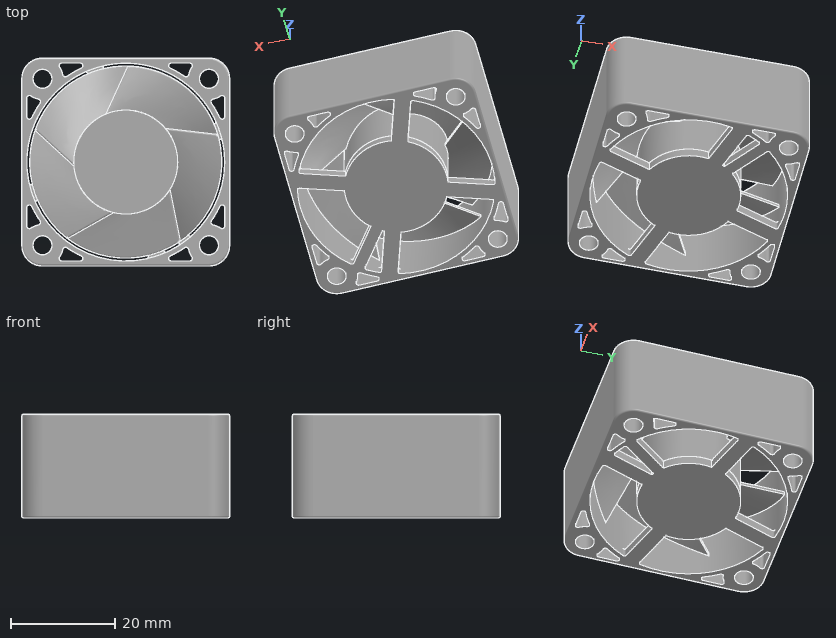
import cadquery as cq
import math

side = 40.0
height = 20.0
corner_radius = 4.0
corner_count = 4
rim_rounding = 0.4
bore_radius = 19.0

screw_hole_diameter = 3.6
screw_offset = side / 2 - corner_radius
pocket_edge_wall = 1.0
pocket_bore_wall = 1.0
pocket_boss_radius = 4.0
pocket_corner_radius = 0.5

strut_height = 2.0
strut_width = 3.2
strut_count = 4
first_strut_angle = 18.4
cable_strut_width = 2.4
cable_strut_angle = -53.0
strut_root_fillet = 0.4

hub_radius = 10.0

blade_count = 5
blade_tip_radius = 18.5
blade_tip_angle = 16.7
blade_tip_top = 14.4
blade_root_angle = 40.4
blade_root_top = 16.25
blade_wrap = 82.0
blade_root_slope = 0.055
blade_tip_slope = 0.055
blade_tip_steepening = 9.2e-06
rail_spans = 8
blade_thickness = 0.7
blade_rounding = 0.3
blade_overrun = 0.1


def make_pocket():
    """Cutter for the three-sided pocket between the left screw boss, the bore and the +Y wall."""
    outer_y = side / 2 - pocket_edge_wall
    ring_radius = bore_radius + pocket_bore_wall
    blank = (
        cq.Workplane("XY")
        .rect(screw_offset, outer_y, centered=False)
        .extrude(height)
        .translate((-screw_offset, 0, 0))
    )
    screw_boss = (
        cq.Workplane("XY").center(-screw_offset, screw_offset).circle(pocket_boss_radius).extrude(height)
    )
    ring = cq.Workplane("XY").circle(ring_radius).extrude(height)
    return blank.cut(screw_boss).cut(ring).edges("|Z").fillet(pocket_corner_radius)


def make_strut(width, angle):
    """Radial bar from the axis into the housing wall."""
    length = (bore_radius + side / 2) / 2
    bar = cq.Workplane("XY").rect(length, width, centered=(False, True)).extrude(strut_height)
    return bar.rotate((0, 0, 0), (0, 0, 1), angle)


def make_housing():
    body = (
        cq.Workplane("XY")
        .rect(side, side)
        .extrude(height)
        .edges("|Z")
        .fillet(corner_radius)
        .faces("<Z or >Z")
        .edges()
        .fillet(rim_rounding)
    )
    body = body.cut(cq.Workplane("XY").circle(bore_radius).extrude(height))

    for index in range(strut_count):
        body = body.union(make_strut(strut_width, first_strut_angle + index * 360 / strut_count))
    body = body.union(make_strut(cable_strut_width, cable_strut_angle))
    body = body.union(cq.Workplane("XY").circle(hub_radius).extrude(strut_height))

    def is_strut_root(edge):
        centre = edge.Center()
        return abs(math.hypot(centre.x, centre.y) - bore_radius) < 0.005 and centre.z < strut_height

    strut_roots = body.edges("|Z").filter(is_strut_root)
    body = strut_roots.fillet(strut_root_fillet)

    screw_holes = (
        cq.Workplane("XY")
        .rect(2 * screw_offset, 2 * screw_offset, forConstruction=True)
        .vertices()
        .circle(screw_hole_diameter / 2)
        .extrude(height)
    )
    body = body.cut(screw_holes)

    pocket = make_pocket()
    for index in range(corner_count):
        for cutter in (pocket, pocket.mirror("YZ")):
            body = body.cut(cutter.rotate((0, 0, 0), (0, 0, 1), index * 360 / corner_count))
    return body


def make_hub():
    hub_height = height - strut_height
    return cq.Workplane("XY").workplane(offset=strut_height).circle(hub_radius).extrude(hub_height)


def polar(radius, angle):
    """X and Y of a point at the given distance and angle from the axis."""
    return radius * math.cos(math.radians(angle)), radius * math.sin(math.radians(angle))


def make_rail(x, y, z, slope, steepening):
    """Long edge of a blade: it turns clockwise about the axis and falls by a cubic in the angle turned."""
    radius = math.hypot(x, y)
    start_angle = math.degrees(math.atan2(y, x))
    points = []
    for index in range(rail_spans + 1):
        turn = blade_wrap * index / rail_spans
        point_x, point_y = polar(radius, start_angle - turn)
        points.append(cq.Vector(point_x, point_y, z - slope * turn - steepening * turn**3))
    return cq.Edge.makeSpline(points)


def make_blade():
    """Thin band between an inner and an outer pair of rails, with its highest end leading."""
    tip_x, tip_y = polar(blade_tip_radius, blade_tip_angle)
    root_x, root_y = polar(hub_radius, blade_root_angle)
    inner_x = root_x + blade_overrun * (root_x - tip_x)
    inner_y = root_y + blade_overrun * (root_y - tip_y)
    inner_z = blade_root_top + blade_overrun * (blade_root_top - blade_tip_top)

    rails = [
        make_rail(inner_x, inner_y, inner_z, blade_root_slope, 0),
        make_rail(tip_x, tip_y, blade_tip_top, blade_tip_slope, blade_tip_steepening),
        make_rail(tip_x, tip_y, blade_tip_top - blade_thickness, blade_tip_slope, blade_tip_steepening),
        make_rail(inner_x, inner_y, inner_z - blade_thickness, blade_root_slope, 0),
    ]
    next_rails = rails[1:] + rails[:1]
    faces = [cq.Face.makeRuledSurface(rail, next_rail) for rail, next_rail in zip(rails, next_rails)]
    for position in (0, 1):
        corners = [rail.positionAt(position) for rail in rails]
        faces.append(cq.Face.makeFromWires(cq.Wire.makePolygon(corners, close=True)))
    band = cq.Workplane(cq.Solid.makeSolid(cq.Shell.makeShell(faces)))

    root_top, tip_top, tip_bottom, root_bottom = rails
    rounded_points = [
        tip_top.positionAt(0.5),
        tip_bottom.positionAt(0.5),
        (root_top.positionAt(0) + tip_top.positionAt(0)) * 0.5,
        (root_bottom.positionAt(0) + tip_bottom.positionAt(0)) * 0.5,
    ]
    rounded_edges = [
        band.edges(cq.NearestToPointSelector(point.toTuple())).val() for point in rounded_points
    ]
    blade = band.newObject(rounded_edges).fillet(blade_rounding)

    return blade.cut(cq.Workplane("XY").circle(hub_radius).extrude(height))


housing = make_housing()
hub = make_hub()

first_blade = make_blade().solids()
blades = []
for index in range(blade_count):
    blade = first_blade.rotate((0, 0, 0), (0, 0, 1), index * 360 / blade_count)
    blades.append(blade.val())

result = cq.Compound.makeCompound([housing.solids().val(), hub.val(), *blades])